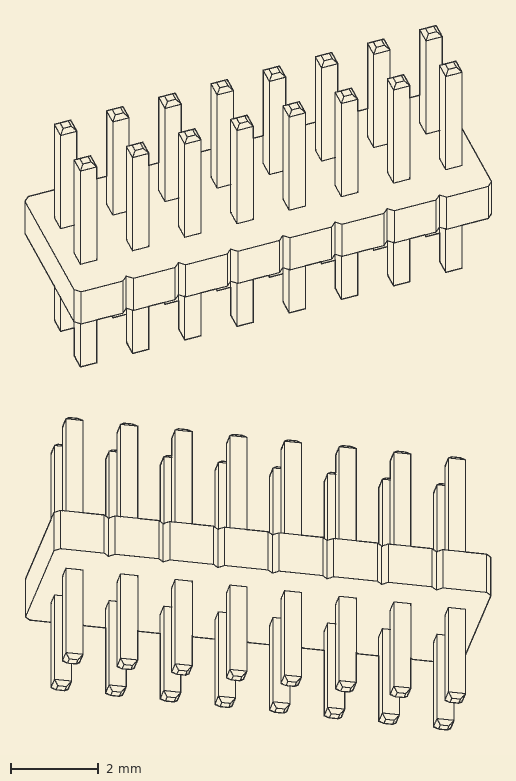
import cadquery as cq

pitch = 1.27
rows = 8
columns = 2
body_width = 3.4
body_height = 1.0
corner_cut = 0.127
pin_size = 0.4
pin_above = 3.0
pin_below = 2.3
tip_chamfer = 0.1

pin_length = pin_below + body_height + pin_above


def centered_positions(count):
    """Coordinates of `count` items at the pin pitch, centered on zero."""
    return [(index - (count - 1) / 2) * pitch for index in range(count)]


row_positions = centered_positions(rows)
column_positions = centered_positions(columns)


def make_segment(y):
    """Body block of one pin row, with its vertical edges cut at 45 degrees."""
    return (
        cq.Workplane("XY")
        .box(body_width, pitch, body_height, centered=(True, True, False))
        .edges("|Z")
        .chamfer(corner_cut)
        .translate((0, y, 0))
    )


def make_body():
    """Segments joined end to end, so their cut corners form V notches between rows."""
    body = make_segment(row_positions[0])
    for y in row_positions[1:]:
        body = body.union(make_segment(y))
    return body.clean()


def make_pin(x, y):
    """Square pin through the body, chamfered at both tips."""
    return (
        cq.Workplane("XY")
        .box(pin_size, pin_size, pin_length, centered=(True, True, False))
        .faces("<Z or >Z")
        .edges()
        .chamfer(tip_chamfer)
        .translate((x, y, -pin_below))
    )


result = make_body()
for pin_x in column_positions:
    for pin_y in row_positions:
        result = result.union(make_pin(pin_x, pin_y))